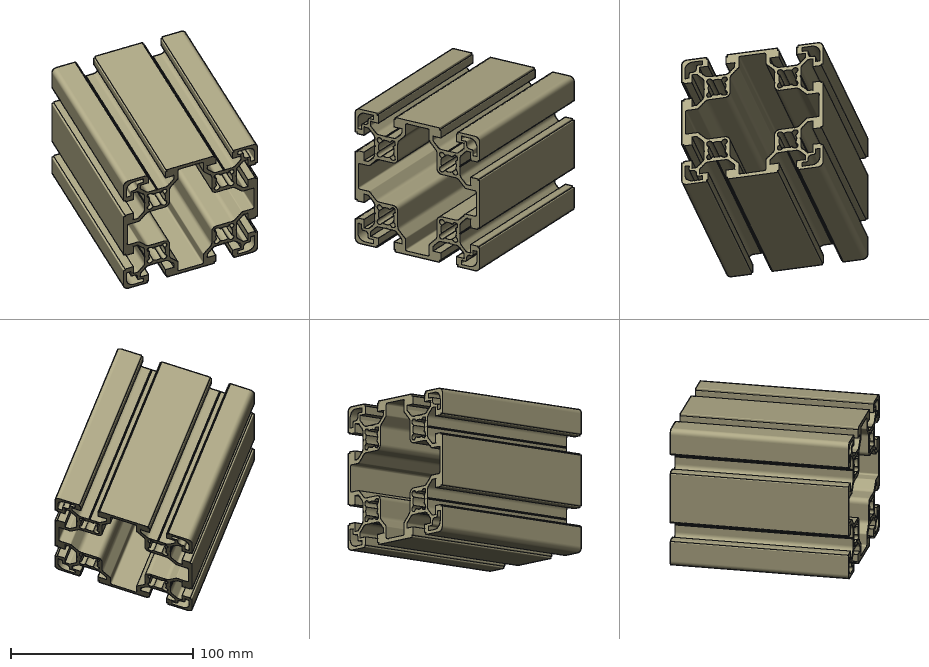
import cadquery as cq
import math

length = 100.0
side = 80.0
half_side = side / 2
outer_corner_radius = 3.0

module_centre = side / 4
core_half_width = 7.4

slot_step_half_width = 5.8
slot_step_depth = 1.2
slot_lip_half_width = 5.0
slot_lip_depth = 5.8
slot_half_width = 10.0
slot_depth = module_centre - core_half_width
slot_floor_half_width = 5.9
slot_side_depth = slot_depth - (slot_half_width - slot_floor_half_width)
slot_bend_radius = 3.0
slot_side_radius = 1.2
slot_lip_radius = 0.4
slot_mouth_half_width = slot_step_half_width + 2 * slot_lip_radius
groove_half_width = 0.4
groove_depth = 0.3

face_wall = 2.2
cavity_arm_half_width = 7.6
cavity_arm_radius = 1.0
cavity_core_radius = 3.0
cavity_bend_radius = 3.2
cavity_arm_bend_radius = 1.0
web_thickness = 2.2

bore_radius = 5.0
lobe_radius = 1.5
bore_wall = 1.6
lobe_offset = core_half_width - bore_wall - lobe_radius
cross_slot_length = 2 * (lobe_offset * math.sqrt(2) + lobe_radius)

hollow_wall = 1.8
hollow_corner_radius = 4.6
hollow_end = 11.8
hollow_arm_depth = 4.3
hollow_core_edge = 8.4
hollow_end_radius = 0.4
hollow_shoulder_radius = 0.9
hollow_core_radius = 2.2


def toward(start, end, distance):
    """Point at the given distance from start along the line to end."""
    ratio = distance / math.dist(start, end)
    return tuple(s + (e - s) * ratio for s, e in zip(start, end))


def rounded_prism(corners):
    """Full-length prism whose outline has corners (y, z, radius); radius 0 is sharp."""
    points = [(y, z) for y, z, _ in corners]
    path = None
    for i, (y, z, radius) in enumerate(corners):
        corner = (y, z)
        before = points[i - 1]
        after = points[(i + 1) % len(points)]
        if radius == 0:
            entry = corner
        else:
            to_before = math.atan2(before[1] - z, before[0] - y)
            to_after = math.atan2(after[1] - z, after[0] - y)
            half_angle = math.acos(math.cos(to_after - to_before)) / 2
            tangent = radius / math.tan(half_angle)
            entry = toward(corner, before, tangent)
            leave = toward(corner, after, tangent)
            chord_middle = ((entry[0] + leave[0]) / 2, (entry[1] + leave[1]) / 2)
            middle = toward(corner, chord_middle, radius / math.sin(half_angle) - radius)
        if path is None:
            path = cq.Workplane("YZ", origin=(-length / 2, 0, 0)).moveTo(*entry)
        else:
            path = path.lineTo(*entry)
        if radius > 0:
            path = path.threePointArc(middle, leave)
    return path.close().extrude(length)


def quarter_turns(prism):
    """Four copies of a prism, turned about the extrusion axis."""
    return [prism.rotate((0, 0, 0), (1, 0, 0), 90 * turn) for turn in range(4)]


def blank():
    box = cq.Workplane("XY").box(length, side, side)
    return box.edges("|X").fillet(outer_corner_radius)


def slot(centre):
    """T-slot opening through the top face."""
    half_outline = [
        (slot_mouth_half_width, -slot_lip_radius, 0),
        (slot_mouth_half_width, 0, 0),
        (slot_step_half_width, 0, slot_lip_radius),
        (slot_step_half_width, slot_step_depth, 0),
        (slot_lip_half_width, slot_step_depth, slot_lip_radius),
        (slot_lip_half_width, slot_lip_depth, 0),
        (slot_half_width, slot_lip_depth, 0),
        (slot_half_width, slot_side_depth, slot_side_radius),
        (slot_floor_half_width, slot_depth, slot_bend_radius),
        (groove_half_width, slot_depth, 0),
    ]
    right = [(centre + y, half_side - depth, r) for y, depth, r in half_outline]
    left = [(centre - y, half_side - depth, r) for y, depth, r in reversed(half_outline)]
    groove_tip = (centre, half_side - slot_depth - groove_depth, 0)
    return rounded_prism(right + [groove_tip] + left)


def cavity():
    """Cross-shaped cavity around the axis, bounded by the cores and the webs."""
    core_edge = module_centre - core_half_width
    slot_diagonal_sum = module_centre - slot_half_width + half_side - slot_side_depth
    diagonal_sum = slot_diagonal_sum - web_thickness * math.sqrt(2)
    upper = [
        (cavity_arm_half_width, half_side - face_wall, cavity_arm_radius),
        (cavity_arm_half_width, diagonal_sum - cavity_arm_half_width, cavity_arm_bend_radius),
        (core_edge, diagonal_sum - core_edge, cavity_bend_radius),
    ]
    core_corner = (core_edge, core_edge, cavity_core_radius)
    quadrant = upper + [core_corner] + [(z, y, r) for y, z, r in reversed(upper)]
    outline = []
    for _ in range(4):
        outline += quadrant
        quadrant = [(z, -y, r) for y, z, r in quadrant]
    return rounded_prism(outline)


def core_bore():
    plane = cq.Workplane("YZ", origin=(-length / 2, module_centre, module_centre))
    bore = plane.circle(bore_radius).extrude(length)
    for angle in (45, 135):
        bore = bore.union(plane.slot2D(cross_slot_length, 2 * lobe_radius, angle).extrude(length))
    return bore


def corner_hollow():
    """L-shaped hollow behind the outer corner, symmetric about the diagonal."""
    arm = [
        (hollow_end, hollow_wall, hollow_end_radius),
        (hollow_end, hollow_arm_depth, hollow_end_radius),
        (hollow_core_edge, hollow_arm_depth, hollow_shoulder_radius),
    ]
    outer_corner = (hollow_wall, hollow_wall, hollow_corner_radius)
    core_corner = (hollow_core_edge, hollow_core_edge, hollow_core_radius)
    outline = [outer_corner] + arm + [core_corner] + [(z, y, r) for y, z, r in reversed(arm)]
    return rounded_prism([(half_side - y, half_side - z, r) for y, z, r in outline])


result = blank().cut(cavity())
for cutter in (slot(-module_centre), slot(module_centre), core_bore(), corner_hollow()):
    for turned in quarter_turns(cutter):
        result = result.cut(turned)